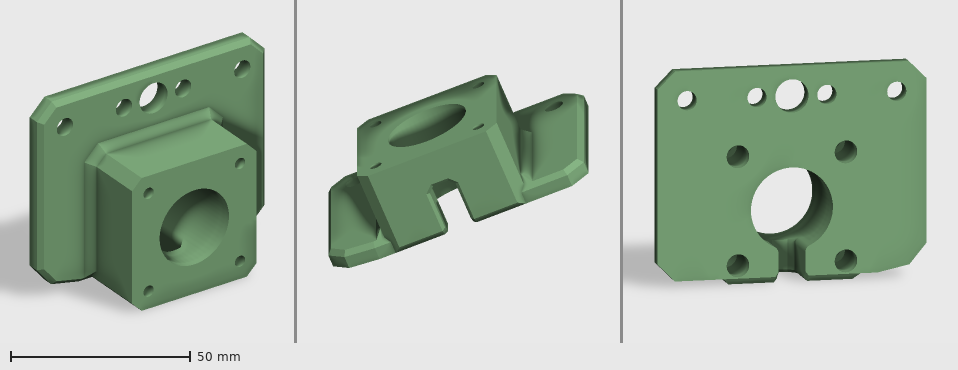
import cadquery as cq
import math

length = 77.0
height = 61.5
plate_thickness = 5.0
plate_bottom = 1.85
corner_cut = 5.0
rim_chamfer = 1.5
slope_start_y, slope_end_y = -24.5, -33.65
slope_end_z, steep_end_z = 3.8, 9.6

boss_size = 42.05
boss_depth = 25.0
boss_corner = 3.2
flare = 2.5
boss_center_z = boss_size / 2

bore_diameter = 23.5
slot_width = 7.7
slot_depth = 15.0
slot_corner = 1.6
slot_mouth = 0.9
slot_bore_fillet = 2.1

screw_offset = 15.5
screw_diameter = 3.5
head_diameter = 6.5
head_depth = slot_depth
upper_holes_z = 53.05
window_diameter = 9.5
mount_diameter = 5.5
mount_hole_offsets = (10.0, 30.0)


def cylinder(y, z, diameter, depth):
    """Cylinder along +X."""
    return cq.Workplane("YZ", origin=(0, y, z)).circle(diameter / 2).extrude(depth)


def boss_section(x, margin=0.0):
    """Corner-cut square of the boss, enlarged by a margin; the corner faces move out equally."""
    half = boss_size / 2 + margin
    inner = boss_size / 2 - boss_corner + margin * math.tan(math.radians(22.5))
    corners = [
        (inner, half), (half, inner), (half, -inner), (inner, -half),
        (-inner, -half), (-half, -inner), (-half, inner), (-inner, half),
    ]
    return cq.Workplane("YZ", origin=(x, 0, boss_center_z)).polyline(corners).close()


def make_plate():
    half = length / 2
    outline = [
        (half - corner_cut, height),
        (half, height - corner_cut),
        (half, plate_bottom + corner_cut),
        (half - corner_cut, plate_bottom),
        (slope_start_y, plate_bottom),
        (slope_end_y, slope_end_z),
        (-half, steep_end_z),
        (-half, height - corner_cut),
        (-half + corner_cut, height),
    ]
    plate = cq.Workplane("YZ").polyline(outline).close().extrude(plate_thickness)
    return plate.faces(">X").edges().chamfer(rim_chamfer)


def make_flare():
    """Sloped skirt around the boss, trimmed below by the plane of the plate's bottom chamfer."""
    base = boss_section(plate_thickness, flare).wires().val()
    tip = boss_section(plate_thickness + flare).wires().val()
    skirt = cq.Workplane(cq.Solid.makeLoft([base, tip], True))
    trim_start = plate_thickness - rim_chamfer
    trim = (
        cq.Workplane("XZ")
        .moveTo(trim_start, plate_bottom)
        .lineTo(trim_start + boss_depth, plate_bottom + boss_depth)
        .lineTo(trim_start + boss_depth, -boss_depth)
        .lineTo(trim_start, -boss_depth)
        .close()
        .extrude(length, both=True)
    )
    return skirt.cut(trim)


def make_boss():
    boss = boss_section(0).extrude(boss_depth)
    return boss.edges("<X and <Z").chamfer(plate_bottom)


def make_slot():
    """Vertical channel from below the boss to the bore axis, with chamfered inner corners."""
    channel_size = (slot_depth, slot_width, boss_center_z)
    slot = cq.Workplane("XY").box(*channel_size, centered=(False, True, False))
    return slot.edges("|Z and >X").chamfer(slot_corner)


def soften_slot(body):
    """Round where the slot's walls meet the bore, then chamfer the slot's lower mouth."""
    margin = 0.1
    half = slot_width / 2 + margin

    def edges_between(low_z, high_z):
        return cq.selectors.BoxSelector(
            (-margin, -half, low_z), (slot_depth + margin, half, high_z), boundingbox=True
        )

    parallel_to_x = cq.selectors.StringSyntaxSelector("|X")
    junctions = edges_between(plate_bottom + margin, boss_center_z) & parallel_to_x
    rounded = body.edges(junctions).fillet(slot_bore_fillet)
    mouth = edges_between(-margin, plate_bottom + margin)
    return rounded.edges(mouth).chamfer(slot_mouth)


def make_screw_hole(y, z):
    """Through hole with a deep counterbore entered from the plate's flat face."""
    return cylinder(y, z, screw_diameter, boss_depth).union(cylinder(y, z, head_diameter, head_depth))


def make_tapered_seat(y, z):
    """Conical bottom of a counterbore, narrowing to the screw diameter."""
    seat_height = (head_diameter - screw_diameter) / 2
    start = cq.Vector(head_depth, y, z)
    along_x = cq.Vector(1, 0, 0)
    seat = cq.Solid.makeCone(head_diameter / 2, screw_diameter / 2, seat_height, start, along_x)
    return cq.Workplane(seat)


body = make_plate().union(make_flare()).union(make_boss())
body = body.cut(make_slot())
body = body.cut(cylinder(0, boss_center_z, bore_diameter, boss_depth))
body = soften_slot(body)

for y_side in (-1, 1):
    for z_side in (-1, 1):
        body = body.cut(make_screw_hole(y_side * screw_offset, boss_center_z + z_side * screw_offset))
    for offset in mount_hole_offsets:
        body = body.cut(cylinder(y_side * offset, upper_holes_z, mount_diameter, plate_thickness))

body = body.cut(make_tapered_seat(screw_offset, boss_center_z - screw_offset))
result = body.cut(cylinder(0, upper_holes_z, window_diameter, plate_thickness))